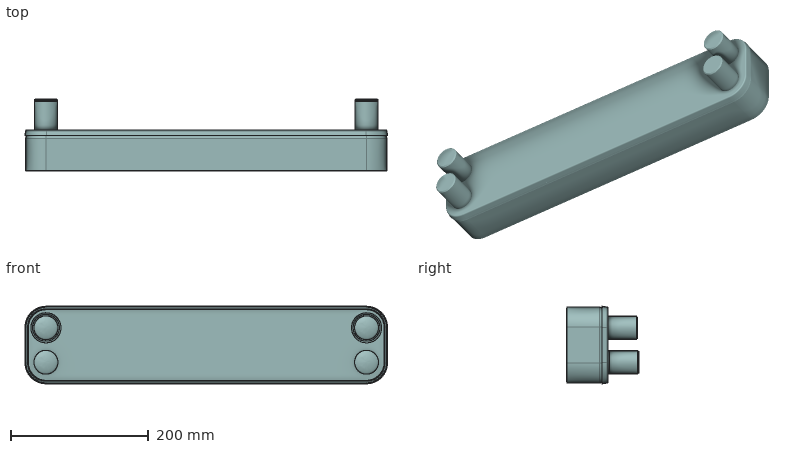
import cadquery as cq
import math


pack_length = 525.0
pack_height = 111.0
corner_radius = 29.5
pack_front = 0.5
skirt_end = 47.5
pack_back = 51.5
skirt_draft = 15.0
rim_thickness = 0.25

tray_draft = 8.0
tray_lip = 2.5
lip_bevel_width = 2.0
tray_floor_depth = 8.0
tray_floor_thickness = 3.0
dome_diameter = 35.0
dome_height = 5.5
dimple_diameter = 44.0
dimple_floor_diameter = 39.0
dimple_depth = 2.0

overall_length = 527.5
overall_height = 113.0
back_plate_back = 60.0
back_plate_draft = 10.0
back_plate_corner_radius = 31.0
back_edge_rounding = 2.0
seat_height = 2.0

port_spacing_x = 466.0
port_spacing_z = 50.0
port_diameter = 34.0
port_length = 42.5
port_chamfer = 1.5

port_x = port_spacing_x / 2
port_z = port_spacing_z / 2
tray_length = pack_length - 2 * rim_thickness
tray_height = pack_height - 2 * rim_thickness
tray_radius = corner_radius - rim_thickness
tray_depth = tray_floor_depth + tray_floor_thickness


def rounded_block(length, height, radius, y_front, y_back, draft=0.0):
    """Rounded bar along Y, with the given outline at y_front; a draft makes it narrower towards y_back."""
    depth = y_back - y_front
    inset = depth * math.tan(math.radians(draft))
    outline = cq.Sketch().rect(length - 2 * inset, height - 2 * inset).vertices().fillet(radius - inset)
    return cq.Workplane("XZ", origin=(0, y_back, 0)).placeSketch(outline).extrude(depth, taper=-draft)


def round_bar(x, z, diameter, y_start, depth):
    """Cylinder along +Y that starts at y_start."""
    return cq.Workplane("XZ", origin=(x, y_start, z)).circle(diameter / 2).extrude(-depth)


def make_pack():
    """Straight-sided box with a drafted skirt at its back and a recess for the front plate."""
    body = rounded_block(pack_length, pack_height, corner_radius, pack_front, skirt_end)
    skirt = rounded_block(pack_length, pack_height, corner_radius, skirt_end, pack_back, skirt_draft)
    return body.union(skirt).cut(tray_blank())


def tray_blank():
    """Block with the outer shape of the front plate; also the recess in the pack."""
    return rounded_block(tray_length, tray_height, tray_radius, 0, tray_depth, tray_draft)


def tray_hollow():
    """Open space in front of the floor of the front plate."""
    return rounded_block(
        tray_length - 2 * tray_lip,
        tray_height - 2 * tray_lip,
        tray_radius - tray_lip,
        0,
        tray_floor_depth,
        tray_draft,
    )


def dome(x, z, y_base):
    """Half ellipsoid that bulges towards -Y from y_base."""
    radius = dome_diameter / 2
    profile = (
        cq.Workplane("XY", origin=(x, y_base, z))
        .ellipseArc(radius, dome_height, 270, 360, startAtCurrent=False)
        .lineTo(0, 0)
        .close()
    )
    return profile.revolve(360, (0, 0), (0, 1))


def dimple(x, z):
    """Conical depression in the floor of the front plate."""
    wall_run = (dimple_diameter - dimple_floor_diameter) / 2
    wall_angle = math.degrees(math.atan(wall_run / dimple_depth))
    opening = cq.Workplane("XZ", origin=(x, tray_floor_depth, z)).circle(dimple_diameter / 2)
    return opening.extrude(-dimple_depth, taper=wall_angle)


def make_front_plate():
    """Tray with a plain dome at each lower corner and a dome in a dimple at each upper corner."""
    blank = tray_blank().faces("<Y").edges().chamfer(pack_front, lip_bevel_width)
    plate = blank.cut(tray_hollow())
    for x in (-port_x, port_x):
        plate = plate.cut(dimple(x, port_z))
        plate = plate.union(dome(x, port_z, tray_floor_depth + dimple_depth))
        plate = plate.union(dome(x, -port_z, tray_floor_depth))
    return plate


def make_back_plate():
    """Drafted plate with a rounded back edge and a raised seat under each lower port."""
    plate = rounded_block(
        overall_length,
        overall_height,
        back_plate_corner_radius,
        pack_back,
        back_plate_back,
        back_plate_draft,
    )
    plate = plate.faces(">Y").edges().fillet(back_edge_rounding)
    for x in (-port_x, port_x):
        plate = plate.union(round_bar(x, -port_z, port_diameter, back_plate_back, seat_height))
    return plate


def make_port(x, z, y_start):
    """Solid connection with a chamfered free end."""
    return round_bar(x, z, port_diameter, y_start, port_length).faces(">Y").edges().chamfer(port_chamfer)


pack = make_pack()
front_plate = make_front_plate()
back_plate = make_back_plate()

ports = []
for x in (-port_x, port_x):
    ports.append(make_port(x, port_z, back_plate_back).val())
    ports.append(make_port(x, -port_z, back_plate_back + seat_height).val())

result = cq.Compound.makeCompound([pack.val(), front_plate.val(), back_plate.val(), *ports])